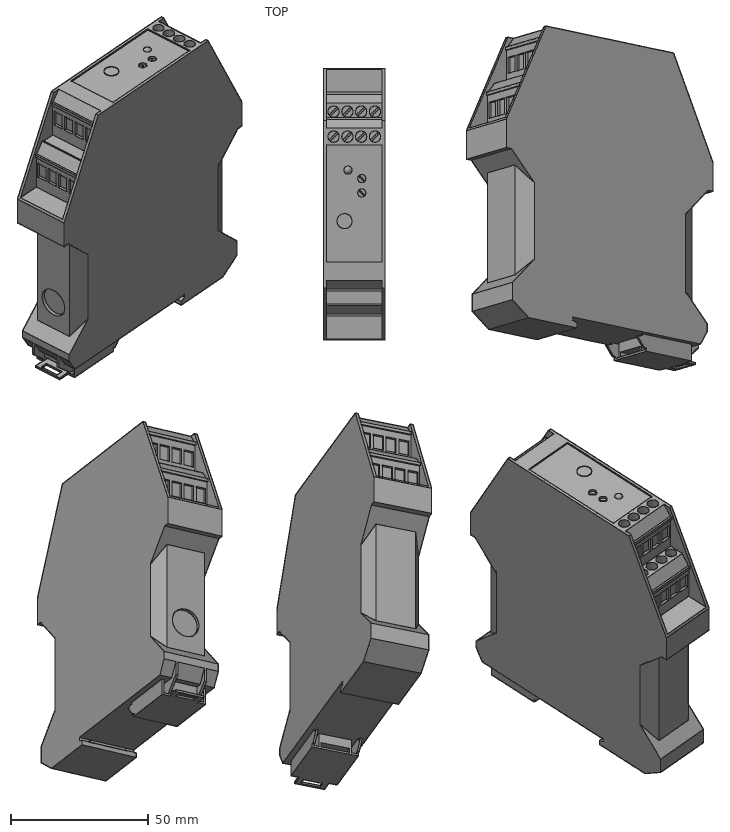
import cadquery as cq

width = 22.6
half_width = width / 2
half_depth = 49.5
top_z = 113.7
top_half_depth = 30.5
shoulder_z = 75.5
brow_bottom_z = 64.8
brow_half_depth = 47.1
waist_half_depth = 36.1
waist_top_z = brow_bottom_z - (brow_half_depth - waist_half_depth)
foot_half_depth = 46.6
foot_top_z = 14.5
waist_bottom_z = foot_top_z + (foot_half_depth - waist_half_depth)
rail_seat_z = 6.3

fixed_foot_bottom_z = 2.5
fixed_foot_inner_y = 15.6
fixed_foot_outer_y = 38.8
fixed_foot_side_z = 8.0
hook_root_y = 17.5
hook_root_z = 5.0
hook_tip_z = 4.3
hook_pad_half_width = 7.4
hook_pad_y = 16.3
hook_pad_top_z = 5.6

clip_bevel_y = 43.4
clip_bevel_z = 11.5

block_half_depth = 42.4
block_face_half_width = 7.8
block_bottom_z = 16.0
block_top_z = 62.7
button_z = 30.3
button_radius = 5.5
button_depth = 1.4

bay_half_width = 10.1
bay_floor_z = 76.4
slope_start_y = 27.8
slope_run = 3.1
slope_drop = 4.0
lip_ledge = 0.8
lip_height = 1.1
lip_overhang = 0.6
upper_wall_y = slope_start_y + slope_run + lip_ledge - lip_overhang
tier_step_y = 9.1
tier_step_z = 18.5
tier_top_z = top_z - tier_step_z
front_shelf_drop = 0.3
front_rim = 0.6

terminal_count = 4
terminal_pitch = 5.0
window_width = 3.9
window_height = 6.0
window_depth = 1.0
window_below_top = 13.9

screw_radius = 2.0
screw_depth = 3.4
screw_slot_width = 0.7
slot_depth = 0.6
slot_angle = 45
upper_screw_y = 24.6
lower_screw_y = 33.7

label_half_width = 10.1
label_front_y = -21.0
label_back_y = 21.7
label_depth = 0.6
label_z = top_z - label_depth
led_x, led_y = -2.3, 12.4
led_radius = 1.5
led_top_z = 114.0
trimmer_x = 2.7
trimmer_ys = (9.3, 4.1)
trimmer_radius = 1.5
trimmer_depth = 0.9
trimmer_slot_width = 0.5
dial_x, dial_y = -3.5, -6.2
dial_radius = 2.7
dial_depth = 0.2

clip_half_width = 9.0
clip_wall = 0.8
clip_front_y = -41.0
clip_back_y = -19.4
clip_nose_y = -15.2
clip_nose_z = 5.1
clip_nose_root_y = -17.5
clip_heel_y = -18.5
clip_heel_z = 1.3
slider_half_width = 5.5
rib_thickness = 0.9
tongue_half_width = 5.8
tongue_tip_y = -45.6
tongue_hole_width = 7.5
tongue_hole_length = 2.7
overlap = 0.6


def yz_prism(points, x_min, x_max):
    """Extrude a (Y, Z) outline from x_min to x_max."""
    return cq.Workplane("YZ", origin=(x_min, 0, 0)).polyline(points).close().extrude(x_max - x_min)


def box(x_min, x_max, y_min, y_max, z_min, z_max):
    size = (x_max - x_min, y_max - y_min, z_max - z_min)
    return cq.Workplane("XY").box(*size, centered=False).translate((x_min, y_min, z_min))


def mirror_y(shape):
    return shape.mirror("XZ")


def terminal_xs():
    first = -terminal_pitch * (terminal_count - 1) / 2
    return [first + i * terminal_pitch for i in range(terminal_count)]


def make_housing():
    outline = [
        (-top_half_depth, top_z),
        (-half_depth, shoulder_z),
        (-half_depth, brow_bottom_z),
        (-brow_half_depth, brow_bottom_z),
        (-waist_half_depth, waist_top_z),
        (-waist_half_depth, waist_bottom_z),
        (-foot_half_depth, foot_top_z),
        (-foot_half_depth, clip_bevel_z),
        (-clip_bevel_y, rail_seat_z),
        (hook_root_y, rail_seat_z),
        (hook_root_y, hook_root_z),
        (fixed_foot_inner_y, hook_tip_z),
        (fixed_foot_inner_y, fixed_foot_bottom_z),
        (fixed_foot_outer_y, fixed_foot_bottom_z),
        (foot_half_depth, fixed_foot_side_z),
        (foot_half_depth, foot_top_z),
        (waist_half_depth, waist_bottom_z),
        (waist_half_depth, waist_top_z),
        (brow_half_depth, brow_bottom_z),
        (half_depth, brow_bottom_z),
        (half_depth, shoulder_z),
        (top_half_depth, top_z),
    ]
    return yz_prism(outline, -half_width, half_width)


def make_hook_pad():
    """Small raised pad in the root of the fixed rail hook."""
    return box(
        -hook_pad_half_width, hook_pad_half_width, hook_pad_y, hook_root_y + overlap,
        hook_tip_z, hook_pad_top_z,
    )


def make_waist_block():
    """Narrowing block that fills the waist at both ends."""
    outline = [
        (-half_width, -waist_half_depth),
        (-block_face_half_width, -block_half_depth),
        (block_face_half_width, -block_half_depth),
        (half_width, -waist_half_depth),
        (half_width, waist_half_depth),
        (block_face_half_width, block_half_depth),
        (-block_face_half_width, block_half_depth),
        (-half_width, waist_half_depth),
    ]
    base = cq.Workplane("XY", origin=(0, 0, block_bottom_z))
    return base.polyline(outline).close().extrude(block_top_z - block_bottom_z)


def make_button_recess():
    plane = cq.Workplane("XZ", origin=(0, -block_half_depth, button_z))
    return plane.circle(button_radius).extrude(-button_depth)


def tier_profile(start_y, start_z):
    """Slope, ledge, lip and wall of one terminal, from its top edge down to its wall."""
    slope_end_y = start_y + slope_run
    slope_end_z = start_z - slope_drop
    lip_y = slope_end_y + lip_ledge
    lip_z = slope_end_z - lip_height
    return [
        (start_y, start_z),
        (slope_end_y, slope_end_z),
        (lip_y, slope_end_z),
        (lip_y, lip_z),
        (lip_y - lip_overhang, lip_z),
    ]


def make_terminal_bay():
    """Stepped space cut between the side plates at the +Y end."""
    upper = tier_profile(slope_start_y, top_z)
    lower = tier_profile(slope_start_y + tier_step_y, tier_top_z)
    outside_y = half_depth + overlap
    outline = (
        upper
        + [(upper[-1][0], tier_top_z)]
        + lower
        + [(lower[-1][0], bay_floor_z), (outside_y, bay_floor_z), (outside_y, top_z)]
    )
    return yz_prism(outline, -bay_half_width, bay_half_width)


def make_windows():
    """Wire openings in the two terminal walls at the +Y end."""
    windows = cq.Workplane("XY")
    for tier in range(2):
        y = upper_wall_y + tier * tier_step_y
        z = top_z - tier * tier_step_z - window_below_top
        for x in terminal_xs():
            windows = windows.add(
                box(x - window_width / 2, x + window_width / 2, y - window_depth, y, z, z + window_height)
            )
    return windows.combine()


def make_front_shelf_cut():
    rim_y = slope_start_y + tier_step_y - front_rim
    return box(
        -bay_half_width, bay_half_width, -rim_y, -upper_wall_y, tier_top_z - front_shelf_drop, tier_top_z
    )


def make_slotted_hole(x, y, z, radius, depth, slot_width, angle):
    """Round hole going down from z, with a screwdriver slot in its floor."""
    floor_z = z - depth
    hole = cq.Workplane("XY", origin=(x, y, floor_z)).circle(radius).extrude(depth)
    slot_plane = cq.Workplane("XY", origin=(x, y, floor_z - slot_depth))
    slot_bar = slot_plane.transformed(rotate=(0, 0, angle)).rect(2 * radius, slot_width)
    slot = slot_bar.extrude(slot_depth + depth)
    reach = slot_plane.circle(radius).extrude(slot_depth + depth)
    return hole.union(slot.intersect(reach))


def cut_screws(body):
    for y, z in ((upper_screw_y, top_z), (lower_screw_y, tier_top_z)):
        for x in terminal_xs():
            body = body.cut(
                make_slotted_hole(x, y, z, screw_radius, screw_depth, screw_slot_width, slot_angle)
            )
    return body


def cut_label(body):
    body = body.cut(box(-label_half_width, label_half_width, label_front_y, label_back_y, label_z, top_z))
    for y in trimmer_ys:
        body = body.cut(
            make_slotted_hole(
                trimmer_x, y, label_z, trimmer_radius, trimmer_depth,
                trimmer_slot_width, -slot_angle,
            )
        )
    dial = cq.Workplane("XY", origin=(dial_x, dial_y, label_z)).circle(dial_radius).extrude(-dial_depth)
    return body.cut(dial)


def make_led():
    """Domed cap standing on the label floor."""
    rise = led_top_z - label_z
    sphere_radius = (led_radius**2 + rise**2) / (2 * rise)
    sphere = cq.Workplane("XY", origin=(led_x, led_y, led_top_z - sphere_radius)).sphere(sphere_radius)
    stem_z = label_z - overlap
    stem = cq.Workplane("XY", origin=(led_x, led_y, stem_z)).circle(led_radius).extrude(led_top_z - stem_z)
    return sphere.intersect(stem)


def make_clip():
    """Open channel with hooked side walls, a middle slider, two ribs and a pull tongue."""
    side_outline = [
        (clip_front_y, 0),
        (clip_back_y, 0),
        (clip_back_y, clip_heel_z),
        (clip_heel_y, clip_heel_z),
        (clip_nose_y, clip_nose_z),
        (clip_nose_root_y, rail_seat_z - overlap),
        (clip_nose_root_y, rail_seat_z + overlap),
        (clip_front_y, rail_seat_z + overlap),
    ]
    rib_outline = [
        (-foot_half_depth, clip_bevel_z),
        (-foot_half_depth, rail_seat_z),
        (clip_front_y, clip_heel_z),
        (clip_front_y, clip_wall),
        (clip_back_y, clip_wall),
        (clip_back_y, rail_seat_z + overlap),
        (clip_front_y, clip_bevel_z),
    ]
    clip = box(-clip_half_width, clip_half_width, clip_front_y, clip_back_y, 0, clip_wall)
    clip = clip.union(
        box(
            -slider_half_width, slider_half_width, clip_front_y, clip_back_y,
            fixed_foot_bottom_z, rail_seat_z + overlap,
        )
    )
    for side in (-1, 1):
        wall_x = sorted((side * clip_half_width, side * (clip_half_width - clip_wall)))
        clip = clip.union(yz_prism(side_outline, *wall_x))
        rib_x = sorted((side * slider_half_width, side * (slider_half_width + rib_thickness)))
        clip = clip.union(yz_prism(rib_outline, *rib_x))
    clip = clip.union(
        box(-tongue_half_width, tongue_half_width, tongue_tip_y, clip_front_y, 0, clip_wall)
    )
    hole_y = (tongue_tip_y + clip_front_y) / 2
    tongue_hole = cq.Workplane("XY", origin=(0, hole_y, 0)).rect(tongue_hole_width, tongue_hole_length)
    return clip.cut(tongue_hole.extrude(clip_wall))


body = make_housing().union(make_hook_pad()).union(make_waist_block())
body = body.cut(make_button_recess())
for cutter in (make_terminal_bay(), make_windows()):
    body = body.cut(cutter).cut(mirror_y(cutter))
body = body.cut(make_front_shelf_cut())
body = cut_screws(body)
body = cut_label(body)
result = body.union(make_led()).union(make_clip())